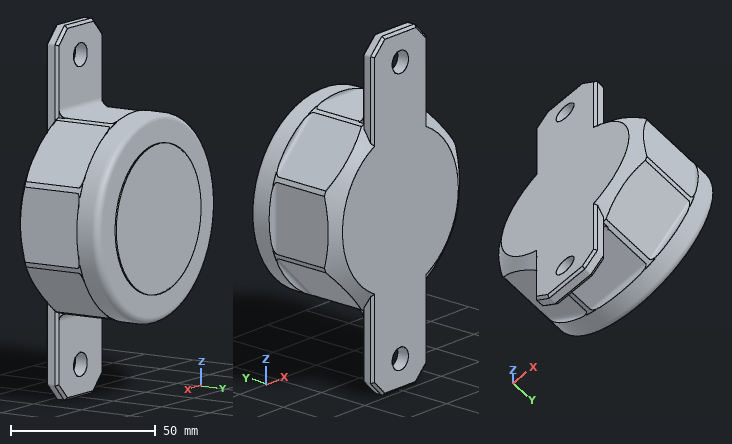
import cadquery as cq
import math


FLANGE_RADIUS = 37.0
CAP_DEPTH = 37.0
FLANGE_FRONT = 28.0
FLANGE_ROUND = 2.5
FLATS_APOTHEM = 34.5
FLATS_COUNT = 8
CORNER_CHAMFER = 1.0
FLANGE_FILLET = 1.5
FRONT_FACE_RADIUS = 30.4
FRONT_BEVEL_DEPTH = 4.8

STRAP_LENGTH = 132.0
STRAP_WIDTH = 29.0
STRAP_THICKNESS = 5.0
STRAP_CORNER_CUT = 6.0
STRAP_CORNER_ROUND = 1.2
STRAP_EDGE_BEVEL = 1.0
STRAP_ROOT_FILLET = 3.0
ROOT_END_BEVEL = 0.8
HOLE_DIAMETER = 8.5
HOLE_SPACING = 109.0

DISC_RADIUS = 26.5
DISC_THICKNESS = 0.5


def make_turned_blank():
    """Solid of revolution about Y: front cone, straight side, rounded rear rim."""
    round_middle = FLANGE_ROUND * (1 - math.sqrt(0.5))
    return (
        cq.Workplane("XY")
        .lineTo(FRONT_FACE_RADIUS, 0)
        .lineTo(FLANGE_RADIUS, FRONT_BEVEL_DEPTH)
        .lineTo(FLANGE_RADIUS, CAP_DEPTH - FLANGE_ROUND)
        .threePointArc(
            (FLANGE_RADIUS - round_middle, CAP_DEPTH - round_middle),
            (FLANGE_RADIUS - FLANGE_ROUND, CAP_DEPTH),
        )
        .lineTo(0, CAP_DEPTH)
        .close()
        .revolve(360, (0, 0), (0, 1))
    )


def make_flat_cutter():
    """Bar that cuts one flat at +X and leaves the hollow fillet below the flange."""
    outside = FLANGE_RADIUS + FLANGE_FILLET
    fillet_middle = FLANGE_FILLET * (1 - math.sqrt(0.5))
    return (
        cq.Workplane("XY")
        .moveTo(FLATS_APOTHEM, 0)
        .lineTo(FLATS_APOTHEM, FLANGE_FRONT - FLANGE_FILLET)
        .threePointArc(
            (FLATS_APOTHEM + fillet_middle, FLANGE_FRONT - fillet_middle),
            (FLATS_APOTHEM + FLANGE_FILLET, FLANGE_FRONT),
        )
        .lineTo(outside, FLANGE_FRONT)
        .lineTo(outside, 0)
        .close()
        .extrude(FLANGE_RADIUS, both=True)
    )


def make_corner_cutter():
    """Bar that cuts the narrow flat across the octagon corner turned to +X."""
    half_angle = math.pi / FLATS_COUNT
    corner_apothem = FLATS_APOTHEM / math.cos(half_angle) - CORNER_CHAMFER * math.sin(half_angle)
    return (
        cq.Workplane("XY")
        .box(FLANGE_RADIUS, FLANGE_FRONT, FLANGE_RADIUS, centered=(False, False, True))
        .translate((corner_apothem, 0, 0))
    )


def make_strap():
    """Flat bar along Z with cut corners, softened edges and bevelled rims."""
    strap = (
        cq.Workplane("XY")
        .box(STRAP_WIDTH, STRAP_THICKNESS, STRAP_LENGTH)
        .translate((0, STRAP_THICKNESS / 2, 0))
        .edges("|Y")
        .chamfer(STRAP_CORNER_CUT)
    )
    strap = strap.faces("<Y or >Y").edges().chamfer(STRAP_EDGE_BEVEL)
    return strap.edges("|Y").fillet(STRAP_CORNER_ROUND)


def make_strap_holes():
    return (
        cq.Workplane("XZ")
        .pushPoints([(0, HOLE_SPACING / 2), (0, -HOLE_SPACING / 2)])
        .circle(HOLE_DIAMETER / 2)
        .extrude(-STRAP_THICKNESS)
    )


def make_root_fillet():
    """Hollow fillet between the back of the strap and the top flat, with bevelled ends."""
    fillet_middle = STRAP_ROOT_FILLET * (1 - math.sqrt(0.5))
    fillet_end = STRAP_THICKNESS + STRAP_ROOT_FILLET
    embedded_z = FLATS_APOTHEM - STRAP_EDGE_BEVEL
    back_width = STRAP_WIDTH - 2 * STRAP_EDGE_BEVEL
    fillet = (
        cq.Workplane("YZ")
        .moveTo(STRAP_THICKNESS, FLATS_APOTHEM + STRAP_ROOT_FILLET)
        .threePointArc(
            (STRAP_THICKNESS + fillet_middle, FLATS_APOTHEM + fillet_middle),
            (fillet_end, FLATS_APOTHEM),
        )
        .lineTo(fillet_end, embedded_z)
        .lineTo(STRAP_THICKNESS, embedded_z)
        .close()
        .extrude(back_width / 2, both=True)
    )
    return fillet.faces(">Y").edges("|Z").chamfer(ROOT_END_BEVEL)


def make_cap():
    cap = make_turned_blank()
    flat_cutter = make_flat_cutter()
    corner_cutter = make_corner_cutter()
    step = 360 / FLATS_COUNT
    for index in range(FLATS_COUNT):
        cap = cap.cut(flat_cutter.rotate((0, 0, 0), (0, 1, 0), index * step))
        cap = cap.cut(corner_cutter.rotate((0, 0, 0), (0, 1, 0), (index + 0.5) * step))
    cap = cap.union(make_strap())

    root_fillet = make_root_fillet()
    cap = cap.union(root_fillet).union(root_fillet.mirror("XY"))
    return cap.cut(make_strap_holes())


def make_disc():
    return cq.Workplane("XZ", origin=(0, CAP_DEPTH, 0)).circle(DISC_RADIUS).extrude(-DISC_THICKNESS)


cap = make_cap()
disc = make_disc()
result = cq.Compound.makeCompound([cap.val(), disc.val()])